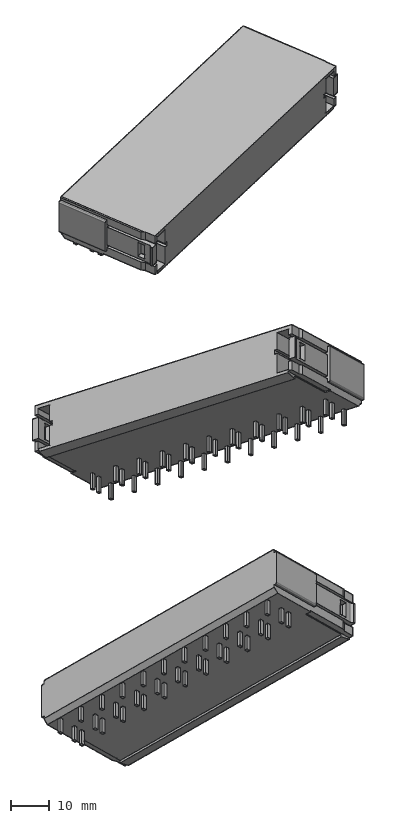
import cadquery as cq

length_x = 29.3
overall_y = 86.6
overall_z = 17.8
pin_drop = 4.4
top_z = overall_z - pin_drop
top_margin = 1.0

body_half_y = 42.45
narrow_half_y = 42.0
taper_start_x = 25.2
taper_end_x = 26.25
top_edge_chamfer = 0.3
left_corner_chamfer = 1.3

relief_start_x = 13.3
relief_height = 0.35
relief_inner_y = 40.7

pad_length = 14.55
pad_top_z = top_z - top_margin
pad_bottom_z = 2.1
pad_edge_fillet = 0.35

end_wall = 1.5
inner_wall_y = body_half_y - end_wall
pocket_inner_y = 37.25
pocket_bottom_z = 0.8
pocket_top_z = top_z - top_margin
groove_depth = 0.9
groove_bottom_z = 6.4
groove_height = 1.1

arm_bottom_z = 3.8
arm_top_z = 9.9
slot_width = 0.8
hook_start_x = 27.8
hook_crest_x = 28.6
hook_end_x = 29.1
hook_y = 43.0
window_start_x = 24.25
window_length = 2.1
window_bottom_z = 4.6
window_height = 4.6

lip_depth = 0.8
lip_end_drop = 0.1

pin_columns_x = (1.8, 7.0, 9.6)
pins_per_column = 11
pin_pitch_y = 7.6
pin_size_x = 1.0
pin_size_y = 0.8
pin_root = 0.9


def box(x_range, y_range, z_range):
    """Axis-aligned box between the given limits."""
    size = [end - start for start, end in (x_range, y_range, z_range)]
    corner = (x_range[0], y_range[0], z_range[0])
    return cq.Workplane("XY").box(*size, centered=False).translate(corner)


def on_both_ends(shape):
    """The shape together with its mirror image across the XZ plane."""
    return shape.union(shape.mirror("XZ"))


def make_body():
    outline = [
        (0, body_half_y),
        (taper_start_x, body_half_y),
        (taper_end_x, narrow_half_y),
        (length_x, narrow_half_y),
        (length_x, -narrow_half_y),
        (taper_end_x, -narrow_half_y),
        (taper_start_x, -body_half_y),
        (0, -body_half_y),
    ]
    body = cq.Workplane("XY").polyline(outline).close().extrude(top_z)
    body = body.edges("<X and <Z").chamfer(left_corner_chamfer)
    for end in (">Y", "<Y"):
        body = body.faces(end).edges(">Z").chamfer(top_edge_chamfer)
    relief = box((relief_start_x, length_x), (relief_inner_y, body_half_y), (0, relief_height))
    return body.cut(on_both_ends(relief))


def make_end_pads():
    pads = box((0, pad_length), (-overall_y / 2, overall_y / 2), (pad_bottom_z, pad_top_z))
    return pads.edges("|X").fillet(pad_edge_fillet)


def make_pockets():
    pocket = box((pad_length, length_x), (pocket_inner_y, inner_wall_y), (pocket_bottom_z, pocket_top_z))
    groove = box(
        (pad_length, length_x),
        (pocket_inner_y - groove_depth, pocket_inner_y),
        (groove_bottom_z, groove_bottom_z + groove_height),
    )
    opening = box(
        (pad_length, length_x),
        (inner_wall_y, body_half_y),
        (arm_bottom_z - slot_width, arm_top_z + slot_width),
    )
    return on_both_ends(pocket.union(groove).union(opening))


def make_latches():
    arm = (
        cq.Workplane("XY", origin=(0, 0, arm_bottom_z))
        .moveTo(pad_length, inner_wall_y)
        .lineTo(pad_length, body_half_y)
        .lineTo(hook_start_x, body_half_y)
        .tangentArcPoint((hook_crest_x, hook_y), relative=False)
        .lineTo(hook_end_x, hook_y)
        .lineTo(hook_end_x, inner_wall_y)
        .close()
        .extrude(arm_top_z - arm_bottom_z)
    )
    window = box(
        (window_start_x, window_start_x + window_length),
        (inner_wall_y, body_half_y),
        (window_bottom_z, window_bottom_z + window_height),
    )
    return on_both_ends(arm.cut(window))


def make_lip():
    section = [
        (taper_end_x, 0),
        (taper_end_x, -lip_depth),
        (length_x, -lip_end_drop),
        (length_x, 0),
    ]
    return cq.Workplane("XZ").polyline(section).close().extrude(relief_inner_y, both=True)


def make_pins():
    first_y = -pin_pitch_y * (pins_per_column - 1) / 2
    places = [(x, first_y + i * pin_pitch_y) for x in pin_columns_x for i in range(pins_per_column)]
    pins = cq.Workplane("XY", origin=(0, 0, pin_root)).pushPoints(places)
    return pins.rect(pin_size_x, pin_size_y).extrude(-(pin_root + pin_drop))


result = (
    make_body()
    .union(make_end_pads())
    .cut(make_pockets())
    .union(make_latches())
    .union(make_lip())
    .union(make_pins())
)